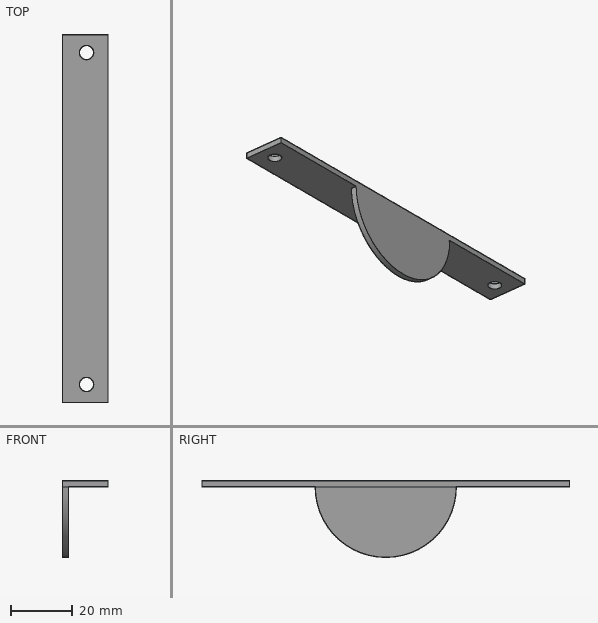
import cadquery as cq

length = 120.0
width = 15.0
height = 25.1
thickness = 2.0
hole_diameter = 4.5
hole_end_distance = 5.9
hole_x = 7.9

tab_radius = height - thickness
hole_spacing = length - 2 * hole_end_distance


def make_strip():
    """Flat strip with its underside at Z = 0 and a hole near each end."""
    strip = cq.Workplane("XY").box(width, length, thickness, centered=(False, True, False))
    hole_centers = [(hole_x, side * hole_spacing / 2) for side in (-1, 1)]
    holes = (
        cq.Workplane("XY")
        .pushPoints(hole_centers)
        .circle(hole_diameter / 2)
        .extrude(thickness)
    )
    return strip.cut(holes)


def make_tab():
    """Half-disc hanging below the strip, flush with its X = 0 edge."""
    return (
        cq.Workplane("YZ")
        .moveTo(-tab_radius, 0)
        .threePointArc((0, -tab_radius), (tab_radius, 0))
        .close()
        .extrude(thickness)
    )


result = make_strip().union(make_tab())